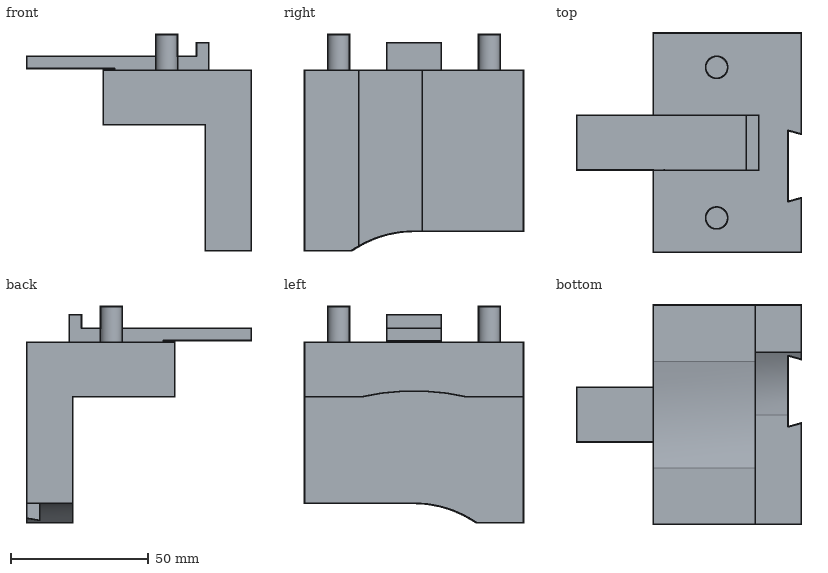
import cadquery as cq
import math


overall_length = 82.0
body_width = 80.0
body_length = 54.0
body_height = 65.9
block_thickness = 20.0
leg_thickness = 16.9
half_width = body_width / 2

arch_half_span = 19.4
arch_rise = 2.2

short_side_lift = 7.1
leg_arc_radius = 40.0

notch_depth = 4.8
notch_mouth_width = 23.1
notch_floor_width = 25.8
notch_center_y = -8.5

tongue_length = 66.5
tongue_width = 20.0
tongue_top = 5.1
tongue_clearance = 0.6
foot_setback = 4.0
lip_top = 10.0
lip_thickness = 4.6

pin_diameter = 8.0
pin_height = 13.0
pin_x = -30.9
pin_offset_y = 27.5


def make_block():
    """Upper block with the arch running along X through its underside."""
    return (
        cq.Workplane("YZ")
        .moveTo(-half_width, 0)
        .lineTo(-half_width, -block_thickness)
        .lineTo(-arch_half_span, -block_thickness)
        .threePointArc((0, arch_rise - block_thickness), (arch_half_span, -block_thickness))
        .lineTo(half_width, -block_thickness)
        .lineTo(half_width, 0)
        .close()
        .extrude(-body_length)
    )


def make_leg():
    """Back leg whose lower edge drops along an arc tangent to the shorter side."""
    short_z = short_side_lift - body_height
    arc_center_z = short_z - leg_arc_radius
    sweep = math.acos(1 - short_side_lift / leg_arc_radius)
    arc_end_y = -leg_arc_radius * math.sin(sweep)
    arc_middle = (
        -leg_arc_radius * math.sin(sweep / 2),
        arc_center_z + leg_arc_radius * math.cos(sweep / 2),
    )
    return (
        cq.Workplane("YZ")
        .moveTo(half_width, 0)
        .lineTo(half_width, short_z)
        .lineTo(0, short_z)
        .threePointArc(arc_middle, (arc_end_y, -body_height))
        .lineTo(-half_width, -body_height)
        .lineTo(-half_width, 0)
        .close()
        .extrude(-leg_thickness)
    )


def make_notch():
    """Dovetail cutter, wider at its floor, through the full height of the leg."""
    half_mouth = notch_mouth_width / 2
    half_floor = notch_floor_width / 2
    return (
        cq.Workplane("XY")
        .polyline([
            (0, notch_center_y - half_mouth),
            (-notch_depth, notch_center_y - half_floor),
            (-notch_depth, notch_center_y + half_floor),
            (0, notch_center_y + half_mouth),
        ])
        .close()
        .extrude(-body_height)
    )


def make_tongue():
    """Overhanging tongue, resting on the block on a thin foot."""
    tip_x = -overall_length
    lip_x = tip_x + tongue_length
    foot_x = foot_setback - body_length
    return (
        cq.Workplane("XZ")
        .polyline([
            (tip_x, tongue_clearance),
            (foot_x, tongue_clearance),
            (foot_x, 0),
            (lip_x, 0),
            (lip_x, lip_top),
            (lip_x - lip_thickness, lip_top),
            (lip_x - lip_thickness, tongue_top),
            (tip_x, tongue_top),
        ])
        .close()
        .extrude(tongue_width / 2, both=True)
    )


def make_pins():
    """Two upright pins placed symmetrically about the tongue."""
    return (
        cq.Workplane("XY")
        .pushPoints([(pin_x, -pin_offset_y), (pin_x, pin_offset_y)])
        .circle(pin_diameter / 2)
        .extrude(pin_height)
    )


body = make_block().union(make_leg()).cut(make_notch())
result = body.union(make_tongue()).union(make_pins())